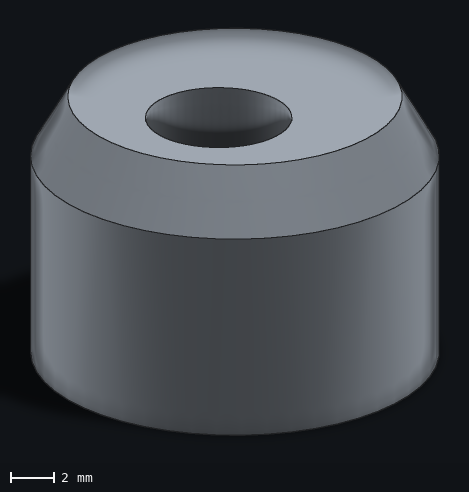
import cadquery as cq
import math

outer_diameter = 19.0
total_height = 13.0
taper_height = 3.0
taper_angle = 30.0
hole_diameter = 6.8
hole_offset = 2.5

outer_radius = outer_diameter / 2
top_radius = outer_radius - taper_height * math.tan(math.radians(taper_angle))
shoulder_height = total_height - taper_height

body = (
    cq.Workplane("XZ")
    .lineTo(outer_radius, 0)
    .lineTo(outer_radius, shoulder_height)
    .lineTo(top_radius, total_height)
    .lineTo(0, total_height)
    .close()
    .revolve(360, (0, 0), (0, 1))
)

hole = (
    cq.Workplane("XY")
    .center(0, -hole_offset)
    .circle(hole_diameter / 2)
    .extrude(total_height)
)

result = body.cut(hole)